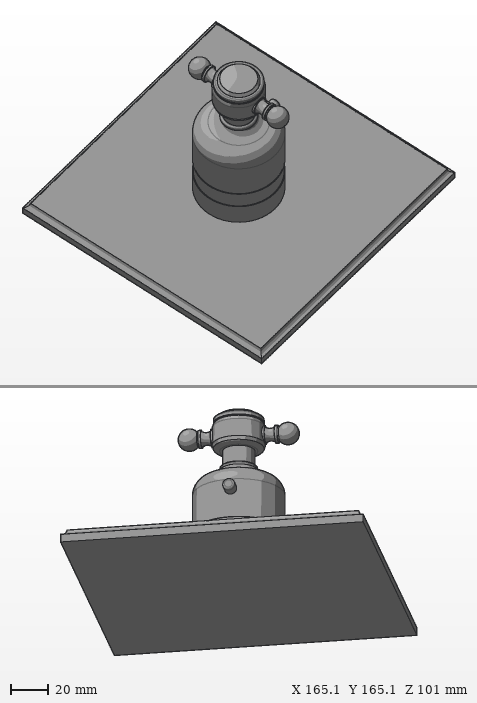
import cadquery as cq
import math

PLATE_SIZE = 165.1
PLATE_EDGE_HEIGHT = 4.5
PLATE_TOP = 8.0
COVE_WIDTH = 3.0
COVE_RADIUS = 3.6

BODY_RADIUS = 25.0
BAND_DEPTH = 0.5
BAND_BOTTOM = 21.3
BAND_TOP = 31.9
SHOULDER_START = 53.7
SHOULDER_TOP = 63.4
SHOULDER_TOP_RADIUS = 16.5
COLLAR_RADIUS = 10.2
FLARE_TOP = 68.2
COLLAR_TOP = 70.3
COLLAR_FILLET = 1.2
NECK_RADIUS = 8.8

HUB_BOTTOM = 79.5
HUB_BOTTOM_RADIUS = 10.2
HUB_EDGE_RADIUS = 13.7
HUB_CURVE_TOP = 81.0
HUB_CURVE_RADIUS = 4.1
HUB_RADIUS = 14.4
BARREL_BOTTOM = 83.0
BARREL_TOP = 93.0
CAP_BOTTOM = 95.1
CAP_GROOVE_WIDTH = 0.7
CAP_GROOVE_DEPTH = 0.3
CAP_TOP = 98.2
CAP_FILLET = 0.8
BUTTON_RADIUS = 11.5
BUTTON_CHAMFER = 1.3
BUTTON_EDGE_TOP = 100.0
OVERALL_HEIGHT = 101.0

ARM_HEIGHT = (BARREL_BOTTOM + BARREL_TOP) / 2
BALL_RADIUS = 6.1
ARM_REACH = 33.0
FLANGE_RADIUS = 5.1
FLANGE_END = 14.7
STEM_START_RADIUS = 4.5
WAIST_RADIUS = 3.5
WAIST_POSITION = 17.5
RING_RADIUS = 5.0
RING_START = 20.1
RING_END = 21.6
BALL_NECK_RADIUS = 4.1

PIN_RADIUS = 3.3
PIN_REACH = 31.9
PIN_HEIGHT = 48.2
PIN_FILLET = 1.2


def make_plate():
    """Square slab whose upper edge is cut by a concave arc on all four sides."""
    half = PLATE_SIZE / 2
    plate = cq.Workplane("XY").box(PLATE_SIZE, PLATE_SIZE, PLATE_TOP, centered=(True, True, False))
    cutter = (
        cq.Workplane("XZ", origin=(0, half, 0))
        .moveTo(half, PLATE_EDGE_HEIGHT)
        .radiusArc((half - COVE_WIDTH, PLATE_TOP), COVE_RADIUS)
        .lineTo(half, PLATE_TOP)
        .close()
        .extrude(PLATE_SIZE)
    )
    for side in range(4):
        plate = plate.cut(cutter.rotate((0, 0, 0), (0, 0, 1), 90 * side))
    return plate


def make_body():
    """Valve body and handle neck, revolved about the Z axis."""
    band_radius = BODY_RADIUS - BAND_DEPTH
    profile = (
        cq.Workplane("XZ")
        .lineTo(BODY_RADIUS, 0)
        .lineTo(BODY_RADIUS, BAND_BOTTOM)
        .lineTo(band_radius, BAND_BOTTOM)
        .lineTo(band_radius, BAND_TOP)
        .lineTo(BODY_RADIUS, BAND_TOP)
        .lineTo(BODY_RADIUS, SHOULDER_START)
        .tangentArcPoint((SHOULDER_TOP_RADIUS, SHOULDER_TOP), relative=False)
        .tangentArcPoint((COLLAR_RADIUS, FLARE_TOP), relative=False)
        .lineTo(COLLAR_RADIUS, COLLAR_TOP - COLLAR_FILLET)
        .radiusArc((COLLAR_RADIUS - COLLAR_FILLET, COLLAR_TOP), -COLLAR_FILLET)
        .lineTo(NECK_RADIUS, COLLAR_TOP)
        .lineTo(NECK_RADIUS, BARREL_BOTTOM)
        .lineTo(0, BARREL_BOTTOM)
        .close()
    )
    return profile.revolve(360, (0, 0, 0), (0, 1, 0))


def make_hub():
    """Handle hub with its cap and domed button, revolved about the Z axis."""
    groove_radius = HUB_EDGE_RADIUS - CAP_GROOVE_DEPTH
    groove_top = CAP_BOTTOM + CAP_GROOVE_WIDTH
    dome_radius = BUTTON_RADIUS - BUTTON_CHAMFER
    dome_rise = OVERALL_HEIGHT - BUTTON_EDGE_TOP
    dome_sphere = (dome_radius**2 + dome_rise**2) / (2 * dome_rise)
    profile = (
        cq.Workplane("XZ")
        .moveTo(0, HUB_BOTTOM)
        .lineTo(HUB_BOTTOM_RADIUS, HUB_BOTTOM)
        .radiusArc((HUB_EDGE_RADIUS, HUB_CURVE_TOP), -HUB_CURVE_RADIUS)
        .lineTo(HUB_RADIUS, BARREL_BOTTOM)
        .lineTo(HUB_RADIUS, BARREL_TOP)
        .lineTo(HUB_EDGE_RADIUS, CAP_BOTTOM)
        .lineTo(groove_radius, CAP_BOTTOM)
        .lineTo(groove_radius, groove_top)
        .lineTo(HUB_EDGE_RADIUS, groove_top)
        .lineTo(HUB_EDGE_RADIUS, CAP_TOP - CAP_FILLET)
        .radiusArc((HUB_EDGE_RADIUS - CAP_FILLET, CAP_TOP), -CAP_FILLET)
        .lineTo(BUTTON_RADIUS, CAP_TOP)
        .lineTo(dome_radius, BUTTON_EDGE_TOP)
        .radiusArc((0, OVERALL_HEIGHT), -dome_sphere)
        .close()
    )
    return profile.revolve(360, (0, 0, 0), (0, 1, 0))


def make_arms():
    """Two opposite arms along X, each revolved about its own axis and ended by a ball."""
    ball_centre = ARM_REACH - BALL_RADIUS
    ball_start = ball_centre - math.sqrt(BALL_RADIUS**2 - BALL_NECK_RADIUS**2)
    arm = (
        cq.Workplane("XZ")
        .lineTo(0, FLANGE_RADIUS)
        .lineTo(FLANGE_END, FLANGE_RADIUS)
        .lineTo(FLANGE_END, STEM_START_RADIUS)
        .threePointArc((WAIST_POSITION, WAIST_RADIUS), (RING_START, STEM_START_RADIUS))
        .lineTo(RING_START, RING_RADIUS)
        .lineTo(RING_END, RING_RADIUS)
        .lineTo(RING_END, BALL_NECK_RADIUS)
        .lineTo(ball_start, BALL_NECK_RADIUS)
        .threePointArc((ball_centre, BALL_RADIUS), (ARM_REACH, 0))
        .close()
        .revolve(360, (0, 0, 0), (1, 0, 0))
    )
    return arm.union(arm.mirror("YZ")).translate((0, 0, ARM_HEIGHT))


def make_pin():
    """Round stop button pointing to +Y with a rounded end."""
    pin = cq.Workplane("XZ", origin=(0, 0, PIN_HEIGHT)).circle(PIN_RADIUS).extrude(-PIN_REACH)
    return pin.faces(">Y").edges().fillet(PIN_FILLET)


result = make_plate().union(make_body()).union(make_hub()).union(make_arms()).union(make_pin())